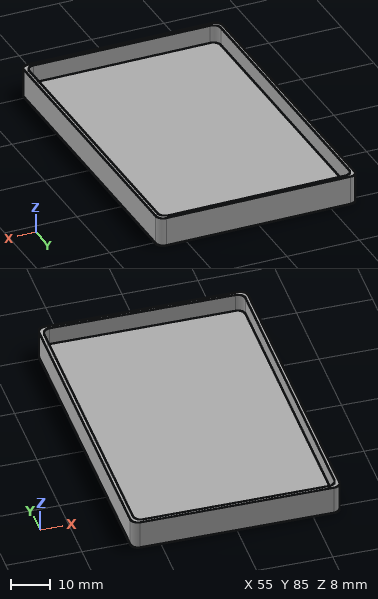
import cadquery as cq

width = 55.0
length = 85.0
height = 8.0
corner_radius = 2.0

wall = 1.0
floor = 3.0
pocket_corner_radius = 2.0


def rounded_block(size_x, size_y, size_z, radius):
    """Block standing on Z = 0 with rounded vertical edges."""
    block = cq.Workplane("XY").box(size_x, size_y, size_z, centered=(True, True, False))
    return block.edges("|Z").fillet(radius)


body = rounded_block(width, length, height, corner_radius)

pocket = rounded_block(
    width - 2 * wall,
    length - 2 * wall,
    height - floor,
    pocket_corner_radius,
).translate((0, 0, floor))

result = body.cut(pocket)